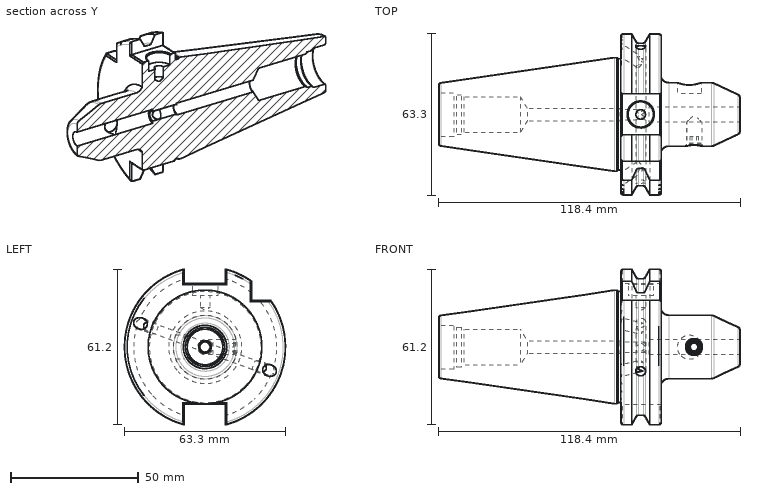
import cadquery as cq
import math

TOTAL_LENGTH = 118.4

TAPER_PER_LENGTH = 7 / 48
GAUGE_X = 68.9
GAUGE_RADIUS = 22.4
SHANK_EDGE_FILLET = 1.0
GAUGE_LAND_LENGTH = 1.1
RELIEF_RADIUS = 21.9
RELIEF_CHAMFER = GAUGE_RADIUS - RELIEF_RADIUS

FLANGE_START_X = 71.5
FLANGE_LENGTH = 16.0
FLANGE_END_X = FLANGE_START_X + FLANGE_LENGTH
FLANGE_RADIUS = 63.3 / 2
FLANGE_EDGE_FILLET = 1.1
GROOVE_X = 79.3
GROOVE_WIDTH = 7.1
GROOVE_BOTTOM_RADIUS = 28.1
GROOVE_WALL_ANGLE = 30.0
GROOVE_FILLET = 1.0

SLOT_WIDTH = 16.1
TOP_SLOT_FLOOR = 25.0
BOTTOM_SLOT_FLOOR = 22.5
NOTCH_CORNER = 18.4
SLOT_EDGE_CHAMFER = 0.6

RECESS_RADIUS = 5.0
RECESS_DEPTH = 4.6
RECESS_EDGE_CHAMFER = 0.4
PILOT_RADIUS = 1.9
PILOT_DEPTH = 4.7
DRILL_POINT_ANGLE = 118.0

COOLANT_ANGLE = 20.0
RADIAL_HOLE_RADIUS = 1.9
SLANTED_HOLE_RADIUS = 2.2
SLANTED_HOLE_PITCH_RADIUS = 27.0
SLANT_ANGLE = 35.0

NOSE_RADIUS = 12.5
SHOULDER_RADIUS = 14.3
SHOULDER_ARC_RADIUS = 3.1
NOSE_CONE_START_X = 107.5
NOSE_CONE_ANGLE = 25.0
NOSE_CONE_FILLET = 2.5
NOSE_END_FILLET = 1.5

PULL_STUD_BORE_RADIUS = 8.5
PULL_STUD_BORE_DEPTH = 5.9
PULL_STUD_MOUTH_FILLET = 1.0
THREAD_RELIEF_RADIUS = 7.7
THREAD_RELIEF_END_X = 8.9
THREAD_RADIUS = 7.0
THREAD_START_X = 9.8
THREAD_END_X = 32.0
CENTRE_DRILL_RADIUS = 2.5
CENTRE_DRILL_END_X = 71.0
PASSAGE_RADIUS = 2.0
TOOL_BORE_RADIUS = 3.0
TOOL_BORE_START_X = 82.4

SCREW_X = 100.3
SCREW_RADIUS = 3.0
SCREW_HEAD_Y = -11.6
SCREW_EDGE_CHAMFER = 0.5
SCREW_HOLE_CHAMFER = 0.4
SOCKET_FLATS = 3.0
SOCKET_DEPTH = 3.0
SOCKET_CHAMFER_RADIUS = 2.0

BALANCE_X = 98.4
BALANCE_RADIUS = 4.7
BALANCE_FLOOR_Y = 8.3


def revolve_about_x(outline):
    """Turn a closed outline of X and radius into a solid about the X axis."""
    return outline.close().revolve(360, (0, 0, 0), (1, 0, 0))


def drill_tip_length(radius):
    return radius / math.tan(math.radians(DRILL_POINT_ANGLE / 2))


def cylinder(start, direction, radius, length):
    return cq.Workplane(cq.Solid.makeCylinder(radius, length, cq.Vector(*start), cq.Vector(*direction)))


def cone(start, direction, start_radius, end_radius, length):
    solid = cq.Solid.makeCone(start_radius, end_radius, length, cq.Vector(*start), cq.Vector(*direction))
    return cq.Workplane(solid)


def make_shank():
    small_radius = GAUGE_RADIUS - GAUGE_X * TAPER_PER_LENGTH
    land_end_x = GAUGE_X + GAUGE_LAND_LENGTH
    outline = cq.Workplane("XY").polyline([
        (0, 0),
        (0, small_radius),
        (GAUGE_X, GAUGE_RADIUS),
        (land_end_x, GAUGE_RADIUS),
        (land_end_x + RELIEF_CHAMFER, RELIEF_RADIUS),
        (FLANGE_START_X, RELIEF_RADIUS),
        (FLANGE_START_X, 0),
    ])
    return revolve_about_x(outline).faces("<X").edges().fillet(SHANK_EDGE_FILLET)


def make_flange():
    half_mouth = GROOVE_WIDTH / 2
    groove_depth = FLANGE_RADIUS - GROOVE_BOTTOM_RADIUS
    half_bottom = half_mouth - groove_depth * math.tan(math.radians(GROOVE_WALL_ANGLE))
    outline = cq.Workplane("XY").polyline([
        (FLANGE_START_X, 0),
        (FLANGE_START_X, FLANGE_RADIUS),
        (GROOVE_X - half_mouth, FLANGE_RADIUS),
        (GROOVE_X - half_bottom, GROOVE_BOTTOM_RADIUS),
        (GROOVE_X + half_bottom, GROOVE_BOTTOM_RADIUS),
        (GROOVE_X + half_mouth, FLANGE_RADIUS),
        (FLANGE_END_X, FLANGE_RADIUS),
        (FLANGE_END_X, 0),
    ])
    flange = revolve_about_x(outline)
    flange = flange.faces("<X or >X").edges().fillet(FLANGE_EDGE_FILLET)
    groove_corners = cq.selectors.BoxSelector(
        (GROOVE_X - half_mouth, -FLANGE_RADIUS, -FLANGE_RADIUS),
        (GROOVE_X + half_mouth, FLANGE_RADIUS, FLANGE_RADIUS),
    )
    return flange.edges(groove_corners).edges(cq.selectors.RadiusNthSelector(0)).fillet(GROOVE_FILLET)


def flange_pocket(y_min, y_max, z_min, z_max):
    """Rectangular cutter along the whole flange, flared where it leaves the two faces."""
    width = y_max - y_min
    height = z_max - z_min
    centre = ((y_min + y_max) / 2, (z_min + z_max) / 2)
    cutter = (
        cq.Workplane("YZ", origin=(FLANGE_START_X, 0, 0))
        .center(*centre)
        .rect(width, height)
        .extrude(FLANGE_LENGTH)
    )
    for face_x, inward in ((FLANGE_START_X, 1), (FLANGE_END_X, -1)):
        flare = (
            cq.Workplane("YZ", origin=(face_x, 0, 0))
            .center(*centre)
            .rect(width + 2 * SLOT_EDGE_CHAMFER, height + 2 * SLOT_EDGE_CHAMFER)
            .extrude(inward * SLOT_EDGE_CHAMFER, taper=45)
        )
        cutter = cutter.union(flare)
    return cutter


def cut_flange_pockets(flange):
    half_slot = SLOT_WIDTH / 2
    outside = FLANGE_RADIUS + 2.4
    flange = flange.cut(flange_pocket(-half_slot, half_slot, TOP_SLOT_FLOOR, outside))
    flange = flange.cut(flange_pocket(-half_slot, half_slot, -outside, -BOTTOM_SLOT_FLOOR))
    return flange.cut(flange_pocket(-outside, -NOTCH_CORNER, NOTCH_CORNER, outside))


def make_nose():
    angle = math.radians(NOSE_CONE_ANGLE)
    tip_radius = NOSE_RADIUS - (TOTAL_LENGTH - NOSE_CONE_START_X) * math.tan(angle)
    arc_rise = SHOULDER_RADIUS - NOSE_RADIUS
    arc_angle = math.acos(1 - arc_rise / SHOULDER_ARC_RADIUS)
    arc_length_x = SHOULDER_ARC_RADIUS * math.sin(arc_angle)
    arc_end_x = FLANGE_END_X + arc_length_x
    arc_middle = (
        arc_end_x - SHOULDER_ARC_RADIUS * math.sin(arc_angle / 2),
        NOSE_RADIUS + SHOULDER_ARC_RADIUS * (1 - math.cos(arc_angle / 2)),
    )
    outline = (
        cq.Workplane("XY")
        .moveTo(FLANGE_END_X, 0)
        .lineTo(FLANGE_END_X, SHOULDER_RADIUS)
        .threePointArc(arc_middle, (arc_end_x, NOSE_RADIUS))
        .lineTo(NOSE_CONE_START_X, NOSE_RADIUS)
        .lineTo(TOTAL_LENGTH, tip_radius)
        .lineTo(TOTAL_LENGTH, 0)
    )
    nose = revolve_about_x(outline)
    nose = nose.faces(">X").edges().fillet(NOSE_END_FILLET)
    margin = NOSE_CONE_FILLET / 2
    cone_edge = cq.selectors.BoxSelector(
        (NOSE_CONE_START_X - margin, -NOSE_RADIUS, -NOSE_RADIUS),
        (NOSE_CONE_START_X + margin, NOSE_RADIUS, NOSE_RADIUS),
    )
    return nose.edges(cone_edge).fillet(NOSE_CONE_FILLET)


def make_axial_bore():
    mouth_radius = PULL_STUD_BORE_RADIUS + PULL_STUD_MOUTH_FILLET
    rounding = PULL_STUD_MOUTH_FILLET * (1 - math.sqrt(0.5))
    relief_start_x = PULL_STUD_BORE_DEPTH + PULL_STUD_BORE_RADIUS - THREAD_RELIEF_RADIUS
    cone_end_x = THREAD_END_X + drill_tip_length(THREAD_RADIUS - CENTRE_DRILL_RADIUS)
    outline = (
        cq.Workplane("XY")
        .moveTo(0, 0)
        .lineTo(0, mouth_radius)
        .threePointArc(
            (rounding, PULL_STUD_BORE_RADIUS + rounding),
            (PULL_STUD_MOUTH_FILLET, PULL_STUD_BORE_RADIUS),
        )
        .lineTo(PULL_STUD_BORE_DEPTH, PULL_STUD_BORE_RADIUS)
        .lineTo(relief_start_x, THREAD_RELIEF_RADIUS)
        .lineTo(THREAD_RELIEF_END_X, THREAD_RELIEF_RADIUS)
        .lineTo(THREAD_START_X, THREAD_RADIUS)
        .lineTo(THREAD_END_X, THREAD_RADIUS)
        .lineTo(cone_end_x, CENTRE_DRILL_RADIUS)
        .lineTo(CENTRE_DRILL_END_X, CENTRE_DRILL_RADIUS)
        .lineTo(CENTRE_DRILL_END_X, PASSAGE_RADIUS)
        .lineTo(TOOL_BORE_START_X, PASSAGE_RADIUS)
        .lineTo(TOOL_BORE_START_X, TOOL_BORE_RADIUS)
        .lineTo(TOTAL_LENGTH, TOOL_BORE_RADIUS)
        .lineTo(TOTAL_LENGTH, 0)
    )
    return revolve_about_x(outline)


def make_slot_recess():
    """Flat recess with a broken edge and a pointed pilot hole, sunk into the top slot floor."""
    down = (0, 0, -1)
    floor_z = TOP_SLOT_FLOOR - RECESS_DEPTH
    pilot_end_z = floor_z - PILOT_DEPTH
    recess = cylinder((GROOVE_X, 0, TOP_SLOT_FLOOR), down, RECESS_RADIUS, RECESS_DEPTH)
    rim_radius = RECESS_RADIUS + RECESS_EDGE_CHAMFER
    rim = cone((GROOVE_X, 0, TOP_SLOT_FLOOR), down, rim_radius, RECESS_RADIUS, RECESS_EDGE_CHAMFER)
    pilot = cylinder((GROOVE_X, 0, floor_z), down, PILOT_RADIUS, PILOT_DEPTH)
    tip = cone((GROOVE_X, 0, pilot_end_z), down, PILOT_RADIUS, 0, drill_tip_length(PILOT_RADIUS))
    return recess.union(rim).union(pilot).union(tip)


def make_coolant_passage(angle_degrees):
    """Radial hole from the groove to the axis, joined by the slanted hole from the rear flange face."""
    angle = math.radians(angle_degrees)
    slant = math.radians(SLANT_ANGLE)
    out_y = math.cos(angle)
    out_z = math.sin(angle)
    radial = cylinder((GROOVE_X, 0, 0), (0, out_y, out_z), RADIAL_HOLE_RADIUS, FLANGE_RADIUS)

    direction = (math.cos(slant), -math.sin(slant) * out_y, -math.sin(slant) * out_z)
    lead = 2 * SLANTED_HOLE_RADIUS
    start = (
        FLANGE_START_X - lead * direction[0],
        SLANTED_HOLE_PITCH_RADIUS * out_y - lead * direction[1],
        SLANTED_HOLE_PITCH_RADIUS * out_z - lead * direction[2],
    )
    length = lead + (GROOVE_X - FLANGE_START_X) / direction[0]
    return radial.union(cylinder(start, direction, SLANTED_HOLE_RADIUS, length))


def make_screw_hole():
    """Radial hole from -Y into the tool bore, with a broken edge at the nose surface."""
    hole = cylinder((SCREW_X, 0, 0), (0, -1, 0), SCREW_RADIUS, NOSE_RADIUS)
    mouth_radius = SCREW_RADIUS + SCREW_HOLE_CHAMFER
    mouth_y = SCREW_HEAD_Y - SCREW_HOLE_CHAMFER
    bevel = cone((SCREW_X, SCREW_HEAD_Y, 0), (0, -1, 0), SCREW_RADIUS, mouth_radius, SCREW_HOLE_CHAMFER)
    mouth = cylinder((SCREW_X, mouth_y, 0), (0, -1, 0), mouth_radius, NOSE_RADIUS + mouth_y)
    return hole.union(bevel).union(mouth)


def make_balance_hole():
    depth = NOSE_RADIUS - BALANCE_FLOOR_Y
    return cylinder((BALANCE_X, BALANCE_FLOOR_Y, 0), (0, 1, 0), BALANCE_RADIUS, depth)


def make_holder():
    flange = cut_flange_pockets(make_flange())
    holder = make_shank().union(flange).union(make_nose())
    holder = holder.cut(make_axial_bore())
    holder = holder.cut(make_slot_recess())
    for angle in (COOLANT_ANGLE, COOLANT_ANGLE + 180):
        holder = holder.cut(make_coolant_passage(angle))
    return holder.cut(make_screw_hole()).cut(make_balance_hole())


def make_set_screw():
    """Headless screw with a hexagon socket, reaching in to the wall of the tool bore."""
    inward = (0, 1, 0)
    head = (SCREW_X, SCREW_HEAD_Y, 0)
    length = -SCREW_HEAD_Y - TOOL_BORE_RADIUS
    screw = cylinder(head, inward, SCREW_RADIUS, length).faces("<Y").chamfer(SCREW_EDGE_CHAMFER)
    corner_diameter = SOCKET_FLATS / math.cos(math.radians(30))
    socket = (
        cq.Workplane("XZ", origin=head)
        .polygon(6, corner_diameter)
        .extrude(-SOCKET_DEPTH)
    )
    countersink = cone(head, inward, SOCKET_CHAMFER_RADIUS, 0, SOCKET_CHAMFER_RADIUS)
    return screw.cut(socket).cut(countersink)


holder = make_holder()
set_screw = make_set_screw()
result = cq.Compound.makeCompound([holder.val(), set_screw.val()])